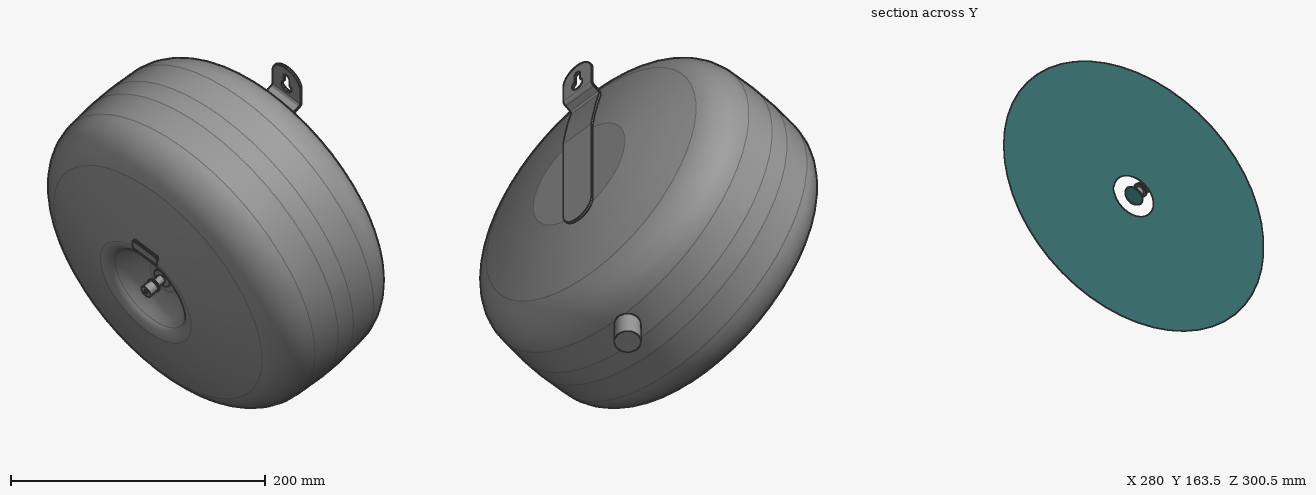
import cadquery as cq
import math


tank_radius = 140.0
band_half_width = 8.6
taper_end_y = 33.5
taper_angle = math.radians(4.0)
corner_radius = 37.3
dome_radius = 374.0
flat_radius = 49.0

rim_roll_radius = 11.0
bowl_slope = math.radians(60.4)
bowl_radius = 28.0

bracket_width = 30.0
bracket_thickness = 2.0
bracket_top_z = 135.5
bracket_bottom_z = -58.3
bracket_knee_z = 99.0
jog_angle = math.radians(17.0)
bend_inner_radius = 1.8
keyhole_diameter = 11.0
keyhole_z = 112.0
keyhole_slot_width = 6.0
keyhole_slot_top_z = 127.0

pipe_diameter = 21.0
pipe_y = 24.2
pipe_end_z = -160.5

valve_flange_radius = 8.2
valve_flange_thickness = 1.0
valve_stem_radius = 3.7
valve_collar_radius = 5.7
valve_collar_start = 9.5
valve_collar_end = 10.8
valve_head_radius = 5.0
valve_length = 19.2
valve_bore_radius = 1.6
valve_bore_depth = 3.0

plate_width = 26.5
plate_height = 10.0
plate_x = -0.7
plate_z = 50.2
plate_corner_radius = 2.0
plate_front_y = -81.0
plate_thickness = 2.0

taper_end_radius = tank_radius - (taper_end_y - band_half_width) * math.tan(taper_angle)
corner_center_r = taper_end_radius - corner_radius * math.cos(taper_angle)
corner_center_y = taper_end_y - corner_radius * math.sin(taper_angle)
center_gap = dome_radius - corner_radius
dome_center_y = corner_center_y - math.sqrt(center_gap**2 - corner_center_r**2)
dome_edge_angle = math.asin(corner_center_r / center_gap)
rim_angle = math.asin(flat_radius / dome_radius)


def arc_point(center_r, center_y, radius, angle):
    """Point on a profile arc, with the angle measured from the +Y axis."""
    return (center_r + radius * math.sin(angle), center_y + radius * math.cos(angle))


def dome_point(angle, offset=0.0):
    return arc_point(0, dome_center_y, dome_radius + offset, angle)


def corner_point(angle):
    return arc_point(corner_center_r, corner_center_y, corner_radius, angle)


def mirrored(point):
    """The same profile point on the front half."""
    return (point[0], -point[1])


taper_end = (taper_end_radius, taper_end_y)
corner_mid = corner_point((dome_edge_angle + math.pi / 2 - taper_angle) / 2)
dome_edge = corner_point(dome_edge_angle)
dome_mid = dome_point((dome_edge_angle + rim_angle) / 2)
rim = dome_point(rim_angle)
back_y = rim[1]

roll_center_r, roll_center_y = dome_point(rim_angle, -rim_roll_radius)


def roll_point(angle):
    return mirrored(arc_point(roll_center_r, roll_center_y, rim_roll_radius, angle))


roll_mid = roll_point((rim_angle - bowl_slope) / 2)
bowl_edge = roll_point(-bowl_slope)
floor_radius = bowl_edge[0] - bowl_radius * math.sin(bowl_slope)
floor_y = bowl_edge[1] + bowl_radius * (1 - math.cos(bowl_slope))
bowl_mid = (
    floor_radius + bowl_radius * math.sin(bowl_slope / 2),
    floor_y - bowl_radius * (1 - math.cos(bowl_slope / 2)),
)


def make_tank():
    """Solid of revolution: domed back, tapered sides and a dished front."""
    profile = (
        cq.Workplane("XY")
        .moveTo(0, back_y)
        .lineTo(*rim)
        .threePointArc(dome_mid, dome_edge)
        .threePointArc(corner_mid, taper_end)
        .lineTo(tank_radius, band_half_width)
        .lineTo(tank_radius, -band_half_width)
        .lineTo(*mirrored(taper_end))
        .threePointArc(mirrored(corner_mid), mirrored(dome_edge))
        .threePointArc(mirrored(dome_mid), mirrored(rim))
        .threePointArc(roll_mid, bowl_edge)
        .threePointArc(bowl_mid, (floor_radius, floor_y))
        .lineTo(0, floor_y)
        .close()
    )
    return profile.revolve(360, (0, 0, 0), (0, 1, 0))


def make_pipe(tank):
    """Pipe stub hanging from the underside of the tank, trimmed to the tank wall."""
    pipe = (
        cq.Workplane("XY", origin=(0, pipe_y, pipe_end_z))
        .circle(pipe_diameter / 2)
        .extrude(-pipe_end_z)
    )
    return pipe.cut(tank)


def make_valve():
    """Turned valve standing on the dish floor and pointing to the front."""
    bore_start = valve_length - valve_bore_depth
    outline = [
        (0, 0),
        (valve_flange_radius, 0),
        (valve_flange_radius, valve_flange_thickness),
        (valve_stem_radius, valve_flange_thickness),
        (valve_stem_radius, valve_collar_start),
        (valve_collar_radius, valve_collar_start),
        (valve_collar_radius, valve_collar_end),
        (valve_head_radius, valve_collar_end),
        (valve_head_radius, valve_length),
        (valve_bore_radius, valve_length),
        (valve_bore_radius, bore_start),
        (0, bore_start),
    ]
    points = [(radius, floor_y - height) for radius, height in outline]
    return cq.Workplane("XY").polyline(points).close().revolve(360, (0, 0, 0), (0, 1, 0))


def make_name_plate():
    """Plate set into the dome above the dish and standing slightly proud of it."""
    return (
        cq.Workplane("XZ", origin=(plate_x, plate_front_y, plate_z))
        .rect(plate_width, plate_height)
        .extrude(-plate_thickness)
        .edges("|Y")
        .fillet(plate_corner_radius)
    )


def bracket_strip():
    """Bent strip: flat on the back, along the dome, out in a jog and up to the wall tab."""
    outer_y = back_y + bracket_thickness
    knee_angle = math.asin(bracket_knee_z / dome_radius)
    arc_mid_angle = (rim_angle + knee_angle) / 2
    knee_z, knee_y = dome_point(knee_angle)

    jog_drop = bracket_thickness / math.cos(jog_angle)
    outer_knee_angle = knee_angle - bracket_thickness / dome_radius
    outer_knee_z, outer_knee_y = dome_point(outer_knee_angle, bracket_thickness)
    outer_mid_z, outer_mid_y = dome_point(arc_mid_angle, bracket_thickness)
    mid_z, mid_y = dome_point(arc_mid_angle)
    jog_top_z = knee_z + (back_y - knee_y) * math.tan(jog_angle)
    jog_bottom_z = knee_z + (outer_y - knee_y) * math.tan(jog_angle) - jog_drop

    strip = (
        cq.Workplane("YZ", origin=(-bracket_width / 2, 0, 0))
        .moveTo(back_y, bracket_bottom_z)
        .lineTo(back_y, flat_radius)
        .threePointArc((mid_y, mid_z), (knee_y, knee_z))
        .lineTo(back_y, jog_top_z)
        .lineTo(back_y, bracket_top_z)
        .lineTo(outer_y, bracket_top_z)
        .lineTo(outer_y, jog_bottom_z)
        .lineTo(outer_knee_y, outer_knee_z)
        .threePointArc((outer_mid_y, outer_mid_z), (outer_y, flat_radius))
        .lineTo(outer_y, bracket_bottom_z)
        .close()
        .extrude(bracket_width)
    )

    def round_bend(body, y, z, radius):
        corner = cq.selectors.NearestToPointSelector((0, y, z))
        return body.edges("|X").edges(corner).fillet(radius)

    bend_outer_radius = bend_inner_radius + bracket_thickness
    strip = round_bend(strip, back_y, jog_top_z, bend_inner_radius)
    strip = round_bend(strip, outer_y, jog_bottom_z, bend_outer_radius)
    strip = round_bend(strip, outer_knee_y, outer_knee_z, bend_inner_radius)
    return round_bend(strip, knee_y, knee_z, bend_outer_radius)


def make_bracket():
    """Bracket with round ends and a keyhole in its upper tab."""
    slot_radius = keyhole_slot_width / 2
    slot_length = keyhole_slot_top_z - keyhole_z
    cut_depth = back_y + 2 * bracket_thickness

    def wall_plane(z):
        return cq.Workplane("XZ", origin=(0, 0, z))

    length = bracket_top_z - bracket_bottom_z
    rounded_outline = (
        wall_plane((bracket_top_z + bracket_bottom_z) / 2)
        .slot2D(length, bracket_width, 90)
        .extrude(-cut_depth)
    )
    keyhole = wall_plane(keyhole_z).circle(keyhole_diameter / 2).extrude(-cut_depth)
    slot = (
        wall_plane(keyhole_z + (slot_length - slot_radius) / 2)
        .slot2D(slot_length + slot_radius, keyhole_slot_width, 90)
        .extrude(-cut_depth)
    )
    return bracket_strip().intersect(rounded_outline).cut(keyhole).cut(slot)


name_plate = make_name_plate()
tank = make_tank().cut(name_plate)
pipe = make_pipe(tank)
valve = make_valve()
bracket = make_bracket()

result = cq.Compound.makeCompound(
    [body.solids().val() for body in (tank, pipe, valve, bracket, name_plate)]
)